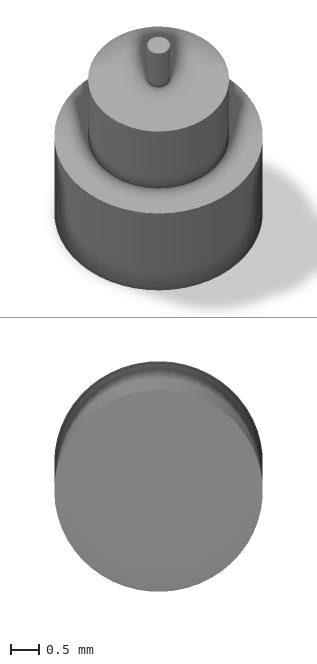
import cadquery as cq

total_height = 4.45
body_diameter = 3.7
body_height = 2.043
collar_diameter = 2.5
collar_height = 1.51
insulator_diameter = 1.95
pin_diameter = 0.4
collar_top = body_height + collar_height


def cylinder(diameter, bottom, top):
    """Solid cylinder on the Z axis between two heights."""
    return cq.Workplane("XY").workplane(offset=bottom).circle(diameter / 2).extrude(top - bottom)


body = cylinder(body_diameter, 0, body_height)
collar = cylinder(collar_diameter, body_height, collar_top)
pin = cylinder(pin_diameter, collar_top, total_height)

insulator = cylinder(insulator_diameter, body_height, collar_top)
collar_shell = collar.cut(insulator)

result = body.union(collar_shell, clean=False).union(insulator, clean=False).union(pin, clean=False)